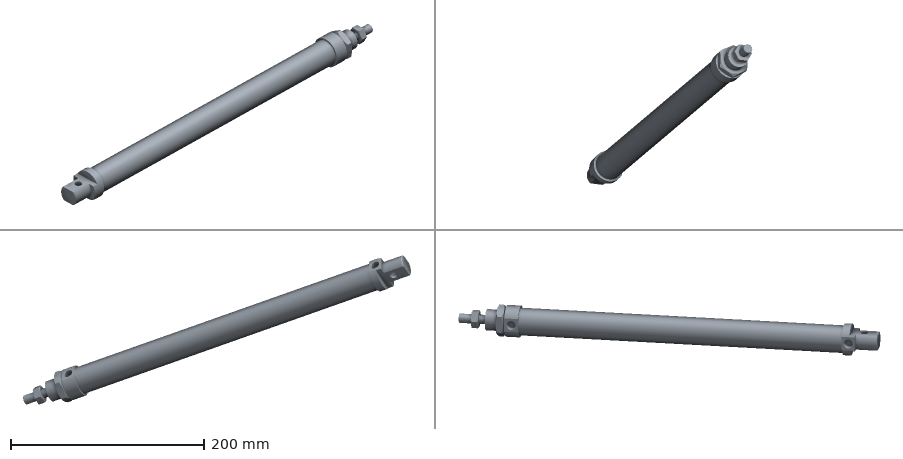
import cadquery as cq
import math

overall_length = 441.0

rod_diameter = 9.5
thread_length = 22.0
rod_reach = 28.5
rod_flat_width = 8.5
rod_flat_length = 3.5
rod_flat_tilt = 20.0
rod_tip_chamfer = 0.5

rod_nut_across_flats = 16.8
rod_nut_thickness = 7.5
rod_nut_setback = 13.5
rod_nut_turn = 0.0
mount_nut_across_flats = 30.0
mount_nut_thickness = 8.0
mount_nut_turn = 30.0
mount_nut_gap = 1.5
nut_chamfer_angle = 30.0
nut_face_ratio = 0.97

neck_diameter = 22.0
neck_length = 21.0
cap_diameter = 33.0
front_cap_length = 14.5
tube_diameter = 28.5
rear_cap_length = 13.5
rear_slab_length = 5.7
eye_diameter = 22.0
eye_length = 22.5
eye_thickness = 16.5
eye_end_chamfer = 1.0
pin_hole_diameter = 8.0
pin_hole_setback = 15.0

port_flat_height = 14.5
port_diameter = 9.0
port_chamfer = 0.5
port_depth = 6.5

neck_front = overall_length - rod_reach
cap_front = neck_front - neck_length
tube_front = cap_front - front_cap_length
rear_cap_end = eye_length
tube_rear = rear_cap_end + rear_cap_length
rod_rear = tube_front
thread_end = overall_length - thread_length
front_port_y = (cap_front + tube_front) / 2
rear_port_y = (rear_cap_end + tube_rear) / 2

cap_radius = cap_diameter / 2
port_flat_x = -math.sqrt(cap_radius ** 2 - (port_flat_height / 2) ** 2)


def cylinder(diameter, y_start, y_end):
    """Solid cylinder on the Y axis."""
    sketch = cq.Workplane("XZ", origin=(0, y_start, 0)).circle(diameter / 2)
    return sketch.extrude(y_start - y_end)


def block(x_range, y_range, z_range):
    """Rectangular block spanning the given ranges."""
    sizes = [high - low for low, high in (x_range, y_range, z_range)]
    corner = (x_range[0], y_range[0], z_range[0])
    return cq.Workplane("XY").box(*sizes, centered=False).translate(corner)


def flat_cutters(gap, reach, y_start, y_end):
    """Two blocks above and below the axis that leave a slab of height gap."""
    across = (-reach, reach)
    along = (y_start, y_end)
    upper = block(across, along, (gap / 2, reach))
    lower = block(across, along, (-reach, -gap / 2))
    return upper.union(lower)


def port_cutter(y_center):
    """Round blind port with a chamfered rim, sunk in +X direction from the port flat."""
    rim = cq.Workplane("YZ", origin=(port_flat_x, y_center, 0))
    hole = rim.circle(port_diameter / 2).extrude(port_depth)
    countersink = rim.circle(port_diameter / 2 + port_chamfer).extrude(port_chamfer, taper=45)
    return hole.union(countersink)


def make_housing():
    neck = cylinder(neck_diameter, cap_front, neck_front)
    front_cap = cylinder(cap_diameter, tube_front, cap_front)
    tube = cylinder(tube_diameter, tube_rear, tube_front)
    rear_cap = cylinder(cap_diameter, rear_cap_end, tube_rear)
    eye = cylinder(eye_diameter, 0, rear_cap_end).faces("<Y").chamfer(eye_end_chamfer)
    body = neck.union(front_cap).union(tube).union(rear_cap).union(eye)

    slab_front = rear_cap_end + rear_slab_length
    body = body.cut(flat_cutters(eye_thickness, cap_diameter, 0, slab_front))

    for y_start, y_end in ((tube_front, cap_front), (rear_cap_end, tube_rear)):
        side = block(
            (-cap_diameter, port_flat_x),
            (y_start, y_end),
            (-cap_diameter, cap_diameter),
        )
        body = body.cut(side)

    pin_plane = cq.Workplane("XY", origin=(0, pin_hole_setback, -cap_diameter))
    body = body.cut(pin_plane.circle(pin_hole_diameter / 2).extrude(2 * cap_diameter))

    for y_center in (front_port_y, rear_port_y):
        body = body.cut(port_cutter(y_center))

    return body.cut(cylinder(rod_diameter, rod_rear, neck_front))


def make_rod():
    rod = cylinder(rod_diameter, rod_rear, overall_length)
    rod = rod.faces(">Y").chamfer(rod_tip_chamfer)
    flat_start = thread_end - rod_flat_length
    cutters = flat_cutters(rod_flat_width, rod_diameter, flat_start, thread_end)
    return rod.cut(cutters.rotate((0, 0, 0), (0, 1, 0), -rod_flat_tilt))


def make_nut(across_flats, thickness, bore, y_rear, corner_turn, chamfer_front):
    """Hexagon nut on the Y axis; corner_turn is the angle of a corner from +X.

    The rear corners are always chamfered, the front ones on request.
    """
    corner_radius = across_flats / math.sqrt(3)
    hexagon = cq.Workplane("XZ", origin=(0, y_rear, 0)).polygon(6, 2 * corner_radius)
    nut = hexagon.extrude(-thickness).rotate((0, 0, 0), (0, 1, 0), corner_turn)

    face_radius = nut_face_ratio * across_flats / 2
    rise = (corner_radius - face_radius) * math.tan(math.radians(nut_chamfer_angle))
    y_front = y_rear + thickness
    outline = [(0, y_rear), (face_radius, y_rear), (corner_radius, y_rear + rise)]
    if chamfer_front:
        outline += [(corner_radius, y_front - rise), (face_radius, y_front)]
    else:
        outline += [(corner_radius, y_front)]
    outline += [(0, y_front)]
    blank = cq.Workplane("XY").polyline(outline).close().revolve(360, (0, 0, 0), (0, 1, 0))
    nut = nut.intersect(blank)
    return nut.cut(cylinder(bore, y_rear, y_rear + thickness))


def make_rod_nut():
    y_rear = overall_length - rod_nut_setback - rod_nut_thickness
    return make_nut(
        rod_nut_across_flats,
        rod_nut_thickness,
        rod_diameter,
        y_rear,
        rod_nut_turn,
        chamfer_front=False,
    )


def make_mount_nut():
    y_rear = cap_front + mount_nut_gap
    return make_nut(
        mount_nut_across_flats,
        mount_nut_thickness,
        neck_diameter,
        y_rear,
        mount_nut_turn,
        chamfer_front=True,
    )


housing = make_housing()
piston_rod = make_rod()
rod_nut = make_rod_nut()
mount_nut = make_mount_nut()

result = cq.Compound.makeCompound(
    [housing.val(), piston_rod.val(), rod_nut.val(), mount_nut.val()]
)